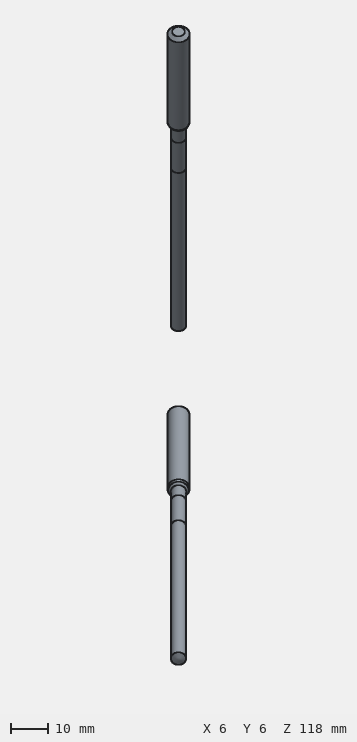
import cadquery as cq

total_length = 118.0
shank_length = 36.0
flute_length = 75.9
margin_length = 63.8

shank_diameter = 6.0
drill_diameter = 4.1
top_flat_diameter = 3.4
margin_relief = 0.01

point_height = 0.7
top_chamfer_height = 1.0
shoulder_upper_height = 0.7
shoulder_lower_height = 0.7
shoulder_middle_diameter = 5.4

shank_radius = shank_diameter / 2
drill_radius = drill_diameter / 2
top_flat_radius = top_flat_diameter / 2
shoulder_middle_radius = shoulder_middle_diameter / 2


def make_cutter():
    """Drill from its conical point up to the end of the flutes."""
    relieved_radius = drill_radius - margin_relief
    profile = (
        cq.Workplane("XZ")
        .moveTo(0, 0)
        .lineTo(drill_radius, point_height)
        .lineTo(drill_radius, margin_length)
        .lineTo(relieved_radius, margin_length)
        .lineTo(relieved_radius, flute_length)
        .lineTo(0, flute_length)
        .close()
    )
    return profile.revolve(360, (0, 0, 0), (0, 1, 0))


def make_shank():
    """Shank with a neck, a double-beveled shoulder and a beveled top rim."""
    shank_bottom = total_length - shank_length
    shoulder_middle = shank_bottom - shoulder_upper_height
    shoulder_bottom = shoulder_middle - shoulder_lower_height
    rim_bottom = total_length - top_chamfer_height
    profile = (
        cq.Workplane("XZ")
        .moveTo(0, flute_length)
        .lineTo(drill_radius, flute_length)
        .lineTo(drill_radius, shoulder_bottom)
        .lineTo(shoulder_middle_radius, shoulder_middle)
        .lineTo(shank_radius, shank_bottom)
        .lineTo(shank_radius, rim_bottom)
        .lineTo(top_flat_radius, total_length)
        .lineTo(0, total_length)
        .close()
    )
    return profile.revolve(360, (0, 0, 0), (0, 1, 0))


cutter = make_cutter()
shank = make_shank()
result = cq.Compound.makeCompound([cutter.val(), shank.val()])